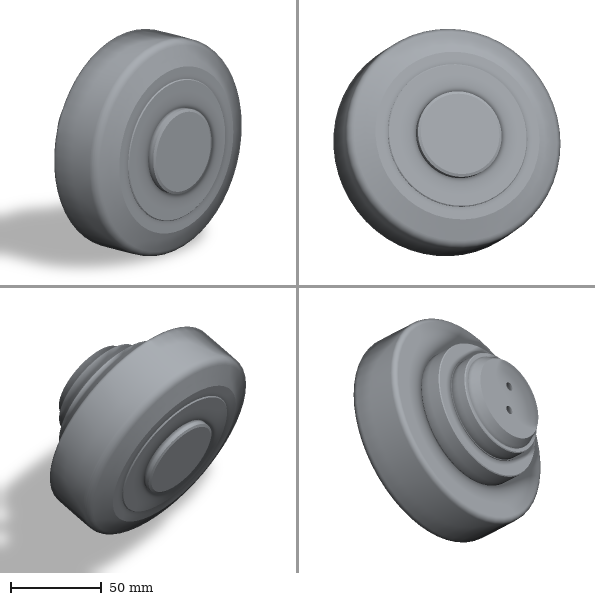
import cadquery as cq
import math

total_length = 72.3
taper_end = 6.0
lip_start = 15.7
collar_start = 16.2
front_collar_end = 29.6
wheel_start = 30.1
tread_start = 33.0
tread_end = 58.2
wheel_end = 67.0
back_collar_end = 67.8

taper_small_diameter = 48
taper_large_diameter = 54.9
hub_diameter = 60.0
lip_diameter = 61.2
collar_diameter = 80
wheel_diameter = 123
wheel_end_diameter = 94.0
cap_diameter = 48

edge_chamfer = 0.5
cap_chamfer_length = 0.7
cap_chamfer_depth = 1.5
tread_crown = 0.1
front_round = tread_start - wheel_start
back_round = 4.8
back_cone_angle = math.radians(20.8)

hole_diameter = 4.9
hole_spacing = 16
hole_depth = 9.8


def disc(diameter, start, end):
    """Cylinder about the X axis between two positions."""
    return cq.Workplane("YZ", origin=(start, 0, 0)).circle(diameter / 2).extrude(end - start)


def make_wheel():
    """Crowned wheel, rounded at both rims, with a shallow cone on the +X side."""
    crown_radius = wheel_diameter / 2
    tread_radius = crown_radius - tread_crown
    tread_middle = (tread_start + tread_end) / 2
    diagonal = front_round * math.sqrt(0.5)

    turn = math.pi / 2 - back_cone_angle

    def on_back_round(angle):
        return (
            tread_end + back_round * math.sin(angle),
            tread_radius - back_round * (1 - math.cos(angle)),
        )

    profile = (
        cq.Workplane("XY")
        .moveTo(wheel_start, 0)
        .lineTo(wheel_start, tread_radius - front_round)
        .threePointArc(
            (tread_start - diagonal, tread_radius - front_round + diagonal),
            (tread_start, tread_radius),
        )
        .threePointArc((tread_middle, crown_radius), (tread_end, tread_radius))
        .threePointArc(on_back_round(turn / 2), on_back_round(turn))
        .lineTo(wheel_end, wheel_end_diameter / 2)
        .lineTo(wheel_end, 0)
        .close()
    )
    return profile.revolve(360, (0, 0, 0), (1, 0, 0))


def make_taper():
    """Conical nose at the -X end."""
    profile = (
        cq.Workplane("XY")
        .lineTo(0, taper_small_diameter / 2)
        .lineTo(taper_end, taper_large_diameter / 2)
        .lineTo(taper_end, 0)
        .close()
    )
    return profile.revolve(360, (0, 0, 0), (1, 0, 0))


def make_cap():
    """Round cap at the +X end, with a steep chamfer on its outer edge."""
    cap_radius = cap_diameter / 2
    profile = (
        cq.Workplane("XY")
        .moveTo(back_collar_end, 0)
        .lineTo(back_collar_end, cap_radius)
        .lineTo(total_length - cap_chamfer_length, cap_radius)
        .lineTo(total_length, cap_radius - cap_chamfer_depth)
        .lineTo(total_length, 0)
        .close()
    )
    return profile.revolve(360, (0, 0, 0), (1, 0, 0))


hub = disc(hub_diameter, taper_end, lip_start).faces("<X").chamfer(edge_chamfer)
lip = disc(lip_diameter, lip_start, collar_start)
front_collar = disc(collar_diameter, collar_start, front_collar_end).edges().chamfer(edge_chamfer)
spacer = disc(collar_diameter - 2 * edge_chamfer, front_collar_end, wheel_start)
back_collar = disc(collar_diameter, wheel_end, back_collar_end).faces(">X").chamfer(edge_chamfer)

holes = (
    cq.Workplane("YZ")
    .pushPoints([(0, -hole_spacing / 2), (0, hole_spacing / 2)])
    .circle(hole_diameter / 2)
    .extrude(hole_depth)
)

result = make_taper()
for section in (hub, lip, front_collar, spacer, make_wheel(), back_collar, make_cap()):
    result = result.union(section)
result = result.cut(holes)